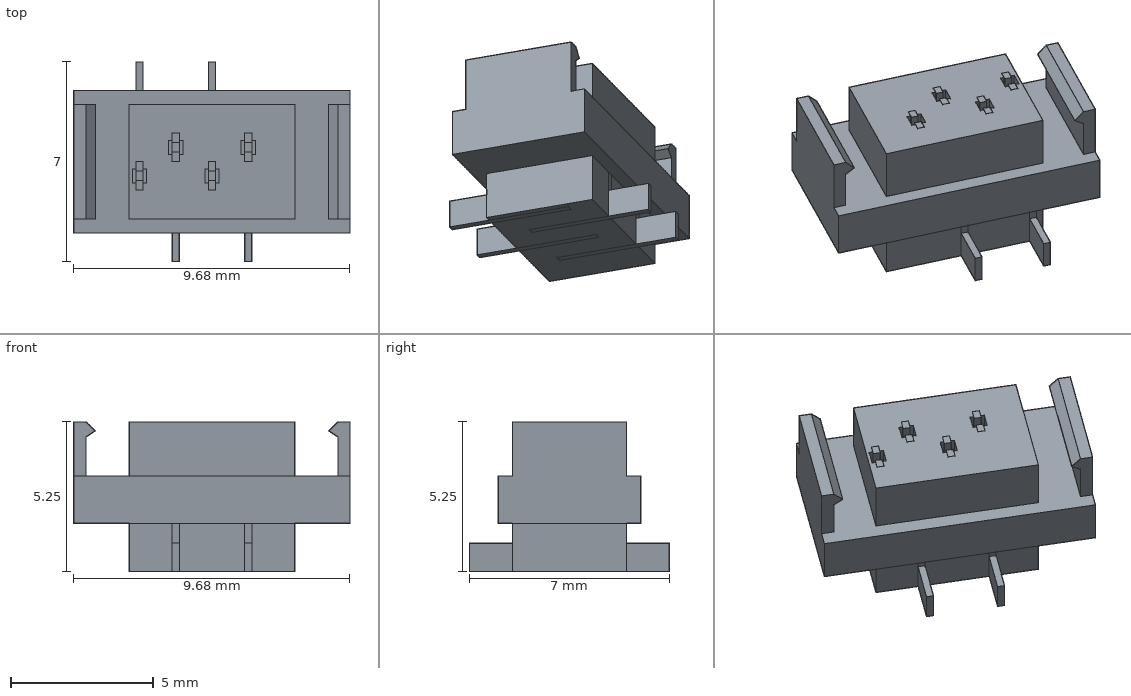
import cadquery as cq

flange_length = 9.68
flange_width = 4.995
overall_width = 7.0
overall_height = 5.25

block_length = 5.8
block_width = 4.0
flange_bottom = 1.69
flange_top = 3.35

latch_thickness = 0.44
hook_reach = 0.32
hook_tip_drop = 0.32
hook_root_drop = 0.53

pin_thickness = 0.25
pin_pitch = 1.27
pin_count = 4
first_pin_x = -2 * pin_pitch
fork_length = 1.0
prong_gap = fork_length / 3
row_offset = fork_length / 2
blade_height = flange_bottom
foot_height = 1.0
socket_side = 0.5

pin_places = [
    (first_pin_x + index * pin_pitch, -1 if index % 2 == 0 else 1)
    for index in range(pin_count)
]


def box_between(x_range, y_range, z_range):
    """Box between two limits on each axis, with the Y limits in either order."""
    y_low, y_high = sorted(y_range)
    return (
        cq.Workplane("XY")
        .box(x_range[1] - x_range[0], y_high - y_low, z_range[1] - z_range[0], centered=False)
        .translate((x_range[0], y_low, z_range[0]))
    )


def centred_box(length, width, bottom, top):
    """Box centred on the Z axis between two heights."""
    return box_between((-length / 2, length / 2), (-width / 2, width / 2), (bottom, top))


def make_latch():
    """Latch arm at the -X end, with its hook pointing inward."""
    outer_x = -flange_length / 2
    inner_x = outer_x + latch_thickness
    profile = [
        (outer_x, flange_top),
        (outer_x, overall_height),
        (inner_x, overall_height),
        (inner_x + hook_reach, overall_height - hook_tip_drop),
        (inner_x, overall_height - hook_root_drop),
        (inner_x, flange_top),
    ]
    return cq.Workplane("XZ").polyline(profile).close().extrude(block_width / 2, both=True)


def pin_x_range(x):
    return (x - pin_thickness / 2, x + pin_thickness / 2)


def make_blade(x, row):
    """Lower blade of a pin, from its fork to the opposite face of the block."""
    y_range = (row * fork_length, -row * block_width / 2)
    return box_between(pin_x_range(x), y_range, (0, blade_height))


def make_fork_blank(x, row):
    """Upper part of a pin before the gap is cut between its prongs."""
    return box_between(pin_x_range(x), (0, row * fork_length), (blade_height, overall_height))


def make_pin(x, row):
    """Forked pin whose foot leaves the block on the side opposite to its row."""
    row_y = row * row_offset
    foot_y_range = (-row * block_width / 2, -row * overall_width / 2)
    foot = box_between(pin_x_range(x), foot_y_range, (0, foot_height))
    gap_y_range = (row_y - prong_gap / 2, row_y + prong_gap / 2)
    gap = box_between(pin_x_range(x), gap_y_range, (blade_height, overall_height))
    prongs = make_fork_blank(x, row).cut(gap)
    return make_blade(x, row).union(foot).union(prongs)


def make_socket(x, row):
    """Square contact opening, down from the top of the block to the blade."""
    row_y = row * row_offset
    half = socket_side / 2
    return box_between((x - half, x + half), (row_y - half, row_y + half), (blade_height, overall_height))


def make_housing():
    """Block, flange and latches, with a recess that fits each pin."""
    block = centred_box(block_length, block_width, 0, overall_height)
    flange = centred_box(flange_length, flange_width, flange_bottom, flange_top)
    latch = make_latch()
    body = block.union(flange).union(latch).union(latch.mirror("YZ"))
    for x, row in pin_places:
        body = body.cut(make_blade(x, row))
        body = body.cut(make_fork_blank(x, row))
        body = body.cut(make_socket(x, row))
    return body


housing = make_housing()
pins = [make_pin(x, row) for x, row in pin_places]

result = cq.Compound.makeCompound([housing.val(), *[pin.val() for pin in pins]])